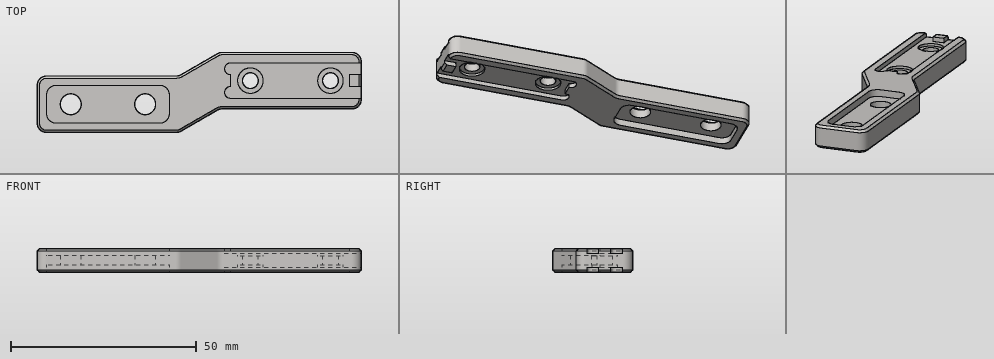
import cadquery as cq
import math

LENGTH = 87.2
ARM_WIDTH = 15.24
ARM_OFFSET = 6.35
THICKNESS = 6.35
BEND_ANGLE = 30.0
CORNER_RADIUS = 2.54
EDGE_CHAMFER = 0.635

POCKET_MARGIN = 2.54
POCKET_LENGTH = 33.02
POCKET_DEPTH = 1.905
POCKET_HOLE_DIAMETER = 5.56
POCKET_HOLE_PITCH = 20.0

CHANNEL_LOBE_DIAMETER = 3.175
CHANNEL_LENGTH = 35.2
CHANNEL_DEPTH = 1.27
TAB_LENGTH = 3.175
CHANNEL_HOLE_DIAMETER = 4.19
COUNTERBORE_DIAMETER = 6.86
COUNTERBORE_DEPTH = 0.7
CHANNEL_HOLE_PITCH = 21.54
CHANNEL_HOLE_MIDPOINT_FROM_END = 19.08

END_X = LENGTH / 2
BEND_X = ARM_OFFSET / math.tan(math.radians(BEND_ANGLE)) / 2
POCKET_ARM_Y = -ARM_OFFSET / 2
CHANNEL_ARM_Y = ARM_OFFSET / 2
HALF_WIDTH = ARM_WIDTH / 2
POCKET_X = -END_X + POCKET_MARGIN + POCKET_LENGTH / 2
POCKET_FLOOR_Z = THICKNESS - POCKET_DEPTH
CHANNEL_FLOOR_Z = THICKNESS - CHANNEL_DEPTH
CHANNEL_HOLES_X = END_X - CHANNEL_HOLE_MIDPOINT_FROM_END


def block(x_start, x_end, y_center, width, z_start, z_end):
    """Rectangular block between two X and two Z positions."""
    length = x_end - x_start
    plane = cq.Workplane("XY", origin=(x_start + length / 2, y_center, z_start))
    return plane.rect(length, width).extrude(z_end - z_start)


def cylinders(points, diameter, z_start, z_end):
    """Vertical cylinders at the given plan points."""
    plane = cq.Workplane("XY", origin=(0, 0, z_start))
    return plane.pushPoints(points).circle(diameter / 2).extrude(z_end - z_start)


def hole_pair(x_middle, y, pitch):
    """Two plan points spaced along X about a midpoint."""
    return [(x_middle + side * pitch / 2, y) for side in (-1, 1)]


def make_body():
    """Cranked plate with rounded corners and chamfered top and bottom edges."""
    outline = [
        (-END_X, POCKET_ARM_Y - HALF_WIDTH),
        (-BEND_X, POCKET_ARM_Y - HALF_WIDTH),
        (BEND_X, CHANNEL_ARM_Y - HALF_WIDTH),
        (END_X, CHANNEL_ARM_Y - HALF_WIDTH),
        (END_X, CHANNEL_ARM_Y + HALF_WIDTH),
        (BEND_X, CHANNEL_ARM_Y + HALF_WIDTH),
        (-BEND_X, POCKET_ARM_Y + HALF_WIDTH),
        (-END_X, POCKET_ARM_Y + HALF_WIDTH),
    ]
    plate = cq.Workplane("XY").polyline(outline).close().extrude(THICKNESS)
    plate = plate.edges("|Z").fillet(CORNER_RADIUS)
    return plate.faces("<Z or >Z").edges().chamfer(EDGE_CHAMFER)


def make_pocket():
    """Rounded rectangular recess and its two through holes."""
    width = ARM_WIDTH - 2 * POCKET_MARGIN
    pocket_end_x = POCKET_X + POCKET_LENGTH / 2
    pocket_start_x = POCKET_X - POCKET_LENGTH / 2
    recess = block(pocket_start_x, pocket_end_x, POCKET_ARM_Y, width, POCKET_FLOOR_Z, THICKNESS)
    recess = recess.edges("|Z").fillet(CORNER_RADIUS)
    holes = hole_pair(POCKET_X, POCKET_ARM_Y, POCKET_HOLE_PITCH)
    return recess.union(cylinders(holes, POCKET_HOLE_DIAMETER, 0, THICKNESS))


def make_channel():
    """Channel open at the +X end, with two round lobes at its closed end and a tab left at its mouth."""
    lobe_y = [CHANNEL_ARM_Y + side * CHANNEL_LOBE_DIAMETER for side in (-1, 1)]
    lobe_points = [(END_X - CHANNEL_LENGTH, y) for y in lobe_y]
    width = 3 * CHANNEL_LOBE_DIAMETER
    channel = block(END_X - CHANNEL_LENGTH, END_X, CHANNEL_ARM_Y, width, CHANNEL_FLOOR_Z, THICKNESS)
    lobes = cylinders(lobe_points, CHANNEL_LOBE_DIAMETER, CHANNEL_FLOOR_Z, THICKNESS)
    tab = block(END_X - TAB_LENGTH, END_X, CHANNEL_ARM_Y, CHANNEL_LOBE_DIAMETER, CHANNEL_FLOOR_Z, THICKNESS)
    return channel.union(lobes).cut(tab)


def make_counterbored_holes():
    """Through holes with shallow counterbores in the channel floor."""
    holes = hole_pair(CHANNEL_HOLES_X, CHANNEL_ARM_Y, CHANNEL_HOLE_PITCH)
    bores = cylinders(holes, CHANNEL_HOLE_DIAMETER, 0, THICKNESS)
    counterbore_floor_z = CHANNEL_FLOOR_Z - COUNTERBORE_DEPTH
    return bores.union(cylinders(holes, COUNTERBORE_DIAMETER, counterbore_floor_z, CHANNEL_FLOOR_Z))


def make_recesses():
    """All cuts, entered from the top face and repeated mirrored on the underside."""
    top_cuts = make_pocket().union(make_channel()).union(make_counterbored_holes())
    underside_cuts = top_cuts.mirror("XY", (0, 0, THICKNESS / 2))
    return top_cuts.union(underside_cuts)


result = make_body().cut(make_recesses())